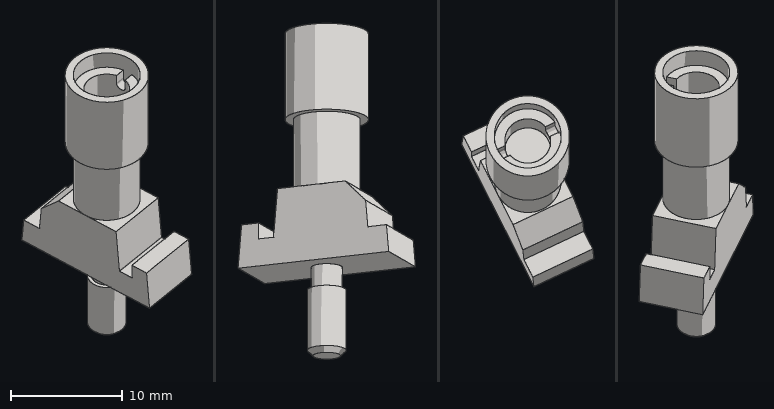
import cadquery as cq
import math

total_height = 29.9
block_bottom = 8.2
block_top = 15.2
pin_shoulder = 6.1
collar_height = 7.98
collar_bottom = total_height - collar_height

pin_diameter = 3.5
pin_neck_diameter = 2.8
pin_chamfer = 0.5
neck_diameter = 6.0
collar_diameter = 7.5

shelf_depth = 1.7
shelf_z = total_height - shelf_depth
inner_bore_diameter = 4.13
inner_bore_depth = 3.0
slot_width = 1.0
slot_straight_depth = 0.95

block_length = 14.8
block_width = neck_diameter
draft = math.tan(math.radians(5))
ledge_z = 10.7
hook_z = 12.2
bevel_size = 2.0
left_step_x = -5.35
right_step_x = 3.92
hook_inner_x = 5.35


def cylinder(diameter, bottom, top):
    """Vertical cylinder on the common axis."""
    return cq.Workplane("XY", origin=(0, 0, bottom)).circle(diameter / 2).extrude(top - bottom)


def make_block():
    """Stepped block with drafted ends, a bevelled shoulder and a hook."""
    half_length = block_length / 2
    bevel_z = block_top - bevel_size
    bevel_x = left_step_x + draft * (bevel_z - ledge_z)
    outline = [
        (-half_length, block_bottom),
        (half_length, block_bottom),
        (half_length - draft * (hook_z - block_bottom), hook_z),
        (hook_inner_x, hook_z),
        (hook_inner_x, ledge_z),
        (right_step_x, ledge_z),
        (right_step_x - draft * (block_top - ledge_z), block_top),
        (bevel_x + bevel_size, block_top),
        (bevel_x, bevel_z),
        (left_step_x, ledge_z),
        (-half_length + draft * (ledge_z - block_bottom), ledge_z),
    ]
    return cq.Workplane("XZ").polyline(outline).close().extrude(block_width / 2, both=True)


def make_pin():
    """Chamfered pin joined to the block by a thinner neck."""
    pin = cylinder(pin_diameter, 0, pin_shoulder).faces("<Z").chamfer(pin_chamfer)
    return pin.union(cylinder(pin_neck_diameter, pin_shoulder, block_bottom))


def make_slot():
    """Round-bottomed slot across the shelf, ending at the socket wall."""
    radius = slot_width / 2
    round_z = shelf_z - slot_straight_depth
    slot = (
        cq.Workplane("XZ")
        .moveTo(-radius, shelf_z)
        .lineTo(-radius, round_z)
        .threePointArc((0, round_z - radius), (radius, round_z))
        .lineTo(radius, shelf_z)
        .close()
        .extrude(neck_diameter, both=True)
    )
    return slot.intersect(cylinder(neck_diameter, collar_bottom, total_height))


body = make_block().union(make_pin())
body = body.union(cylinder(neck_diameter, block_top, collar_bottom))
body = body.union(cylinder(collar_diameter, collar_bottom, total_height))

body = body.cut(cylinder(neck_diameter, shelf_z, total_height))
body = body.cut(cylinder(inner_bore_diameter, shelf_z - inner_bore_depth, shelf_z))
result = body.cut(make_slot())